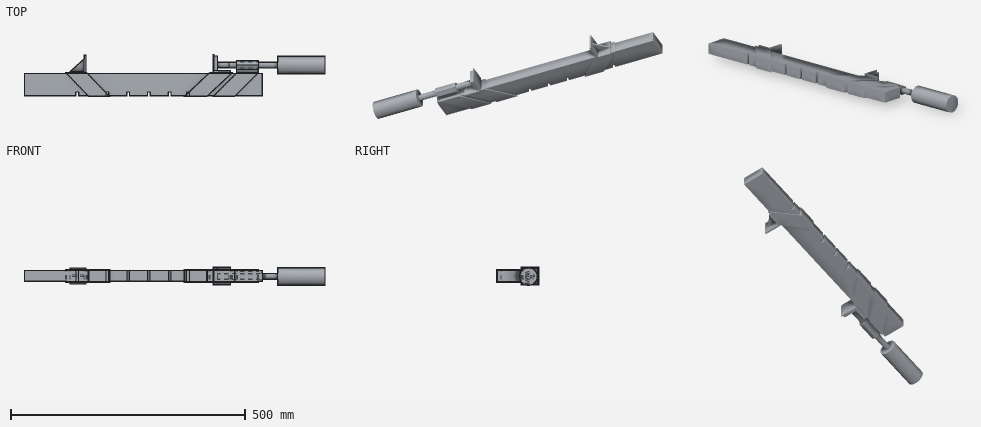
import cadquery as cq
import math

bar_length = 508.0
bar_width = 48.0
bar_height = 24.0
notch_width = 6.0
notch_depth = 8.0
notch_pitch = 44.0
pitched_notches = 4
first_notch = 113.0
second_notch = 177.0
last_notch = 349.5
notch_centres = [
    first_notch,
    *[second_notch + index * notch_pitch for index in range(pitched_notches)],
    last_notch,
]

sleeve_wall = 2.0
sleeve_places = [
    (138.0, 44.0, -50.0),
    (341.0, 48.0, 55.0),
    (403.0, 45.5, 52.0),
]
sleeve_width = bar_width + 2 * sleeve_wall
sleeve_height = bar_height + 2 * sleeve_wall
sleeve_back = sleeve_width / 2

fixed_jaw_left = 97.5
fixed_jaw_right = 131.5
fixed_jaw_top = 63.0
fixed_jaw_height = 35.0
fixed_base_thickness = 2.0
fixed_plate_thickness = 4.0
gusset_thickness = 3.0
gusset_top = 55.0

sliding_jaw_left = 403.5
sliding_jaw_length = 37.0
sliding_jaw_size = 38.0
sliding_plate_thickness = 2.0
sliding_base_thickness = 4.0
sliding_plate_right = sliding_jaw_left + sliding_plate_thickness
pad_thickness = 8.0
pad_top = 61.0
pad_right = sliding_plate_right + pad_thickness
boss_end = 437.5

screw_y = 42.0
screw_z = -1.0
screw_diameter = 13.0
screw_tip_diameter = 10.0
handle_start = 541.0
handle_end = 642.0
handle_diameter = 38.0

guide_start = 453.0
guide_length = 47.0
guide_flats = 19.0


def box(x_min, x_max, y_min, y_max, height, z_middle=0.0):
    """Block between X and Y limits, with its height centred on z_middle."""
    return cq.Workplane("XY").box(x_max - x_min, y_max - y_min, height).translate(
        ((x_min + x_max) / 2, (y_min + y_max) / 2, z_middle)
    )


def rod(x_min, x_max, diameter):
    """Cylinder on the screw axis."""
    return (
        cq.Workplane("YZ", origin=(x_min, screw_y, screw_z))
        .circle(diameter / 2)
        .extrude(x_max - x_min)
    )


def make_bar():
    front = -bar_width / 2
    half = notch_width / 2
    bar = box(0, bar_length, front, bar_width / 2, bar_height)
    for centre in notch_centres:
        bar = bar.cut(box(centre - half, centre + half, front, front + notch_depth, bar_height))
    return bar


def make_sleeve(front_left, length, shift):
    """Parallelogram tube slanted in the XY plane, open at both ends for the bar."""
    outer = (
        cq.Workplane("XY", origin=(0, 0, -sleeve_height / 2))
        .polyline(
            [
                (front_left, -sleeve_back),
                (front_left + length, -sleeve_back),
                (front_left + length + shift, sleeve_back),
                (front_left + shift, sleeve_back),
            ]
        )
        .close()
        .extrude(sleeve_height)
    )
    return outer.cut(box(0, bar_length, -bar_width / 2, bar_width / 2, bar_height))


def make_fixed_jaw():
    """Angle bracket stiffened by a triangular gusset."""
    base_top = sleeve_back + fixed_base_thickness
    plate_left = fixed_jaw_right - fixed_plate_thickness
    base = box(fixed_jaw_left, fixed_jaw_right, sleeve_back, base_top, fixed_jaw_height)
    plate = box(plate_left, fixed_jaw_right, sleeve_back, fixed_jaw_top, fixed_jaw_height)
    gusset = (
        cq.Workplane("XY", origin=(0, 0, -gusset_thickness / 2))
        .polyline([(fixed_jaw_left, base_top), (plate_left, base_top), (plate_left, gusset_top)])
        .close()
        .extrude(gusset_thickness)
    )
    return base.union(plate).union(gusset)


def make_sliding_jaw():
    """Angle bracket with a pad and a boss, bored for the tip of the screw."""
    jaw_right = sliding_jaw_left + sliding_jaw_length
    jaw_top = sleeve_back + sliding_jaw_size
    base_top = sleeve_back + sliding_base_thickness
    base = box(sliding_jaw_left, jaw_right, sleeve_back, base_top, sliding_jaw_size)
    plate = box(sliding_jaw_left, sliding_plate_right, sleeve_back, jaw_top, sliding_jaw_size)
    pad = box(sliding_plate_right, pad_right, base_top, pad_top, pad_top - base_top)
    boss = rod(pad_right, boss_end, screw_diameter)
    bore = rod(pad_right, boss_end, screw_tip_diameter)
    return base.union(plate).union(pad).union(boss).cut(bore)


def make_guide():
    """Hexagonal nut with a corner pointing up, joined to its sleeve by a web as tall as one flat."""
    side = guide_flats / math.sqrt(3)
    guide_end = guide_start + guide_length
    hexagon = (
        cq.Workplane("YZ", origin=(guide_start, screw_y, screw_z))
        .polygon(6, 2 * side)
        .extrude(guide_length)
        .rotate((0, screw_y, screw_z), (1, screw_y, screw_z), 90)
    )
    web = box(guide_start, guide_end, sleeve_back, screw_y, side, screw_z)
    return hexagon.union(web).cut(rod(guide_start, guide_end, screw_diameter))


def make_screw():
    shank = rod(boss_end, handle_start, screw_diameter)
    tip = rod(pad_right, boss_end, screw_tip_diameter)
    return shank.union(tip)


def make_handle():
    return rod(handle_start, handle_end, handle_diameter)


sleeves = [make_sleeve(*place).val() for place in sleeve_places]
result = cq.Compound.makeCompound(
    [
        make_bar().val(),
        *sleeves,
        make_fixed_jaw().val(),
        make_sliding_jaw().val(),
        make_guide().val(),
        make_screw().val(),
        make_handle().val(),
    ]
)